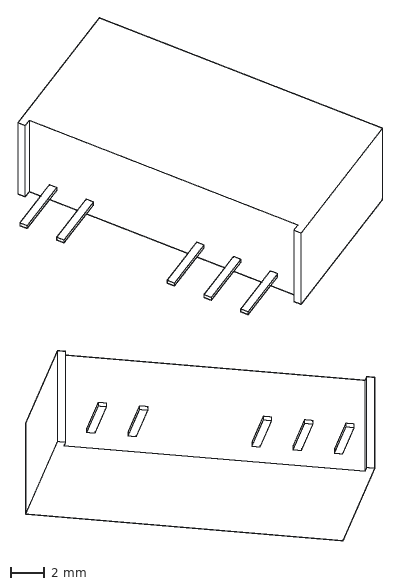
import cadquery as cq

case_length = 19.5
case_depth = 10.2
case_height = 6.1

rib_width = 0.5
recess_depth = 0.5

overall_depth = 13.4
pin_pitch = 2.54
pin_slots = (-3, -2, 1, 2, 3)
pin_width = 0.5
pin_thickness = 0.25
pin_center_z = 1.15
pin_length = overall_depth - case_depth + recess_depth


def make_case():
    """Block with its front face at Y = 0, recessed between the end ribs."""
    block = cq.Workplane("XY").box(case_length, case_depth, case_height, centered=(True, False, False))
    recess = cq.Workplane("XY").box(
        case_length - 2 * rib_width, recess_depth, case_height, centered=(True, False, False)
    )
    return block.cut(recess)


def make_pin(slot):
    """Flat pin running in -Y from the recessed face."""
    pin = cq.Workplane("XY").box(pin_width, pin_length, pin_thickness)
    pin_center_y = recess_depth - pin_length / 2
    return pin.translate((slot * pin_pitch, pin_center_y, pin_center_z))


result = make_case()
for pin_slot in pin_slots:
    result = result.union(make_pin(pin_slot))